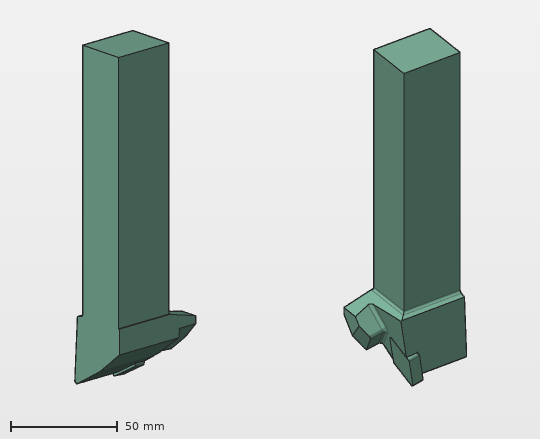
import cadquery as cq
import math


TOTAL_HEIGHT = 171.4
SHANK_WIDTH = 25.0
SHANK_DEPTH = 32.0

HEAD_DEPTH = 48.7
HEAD_RIGHT = 0.5
SHOULDER_HEIGHT = 37.4
SHOULDER_SLOPE = 15.0
SHOULDER_WIDTH = 3.6
SHOULDER_FILLET = 1.4
FLANK_ANGLE = 3.2
RELIEF_ANGLE = 32.0
CORNER_TOP = 4.1
CORNER_BOTTOM = (-29.1, 2.9)
RELIEF_BREAK = -12.7
RIGHT_CORNER = 24.5

RAKE_Y = 35.1
RAKE_SLOPE_X = 0.1
RAKE_SLOPE_Z = 0.11
RAKE_NORMAL = cq.Vector(-RAKE_SLOPE_X, 1, -RAKE_SLOPE_Z).normalized()

BLOCK_ANGLE = 49.0
BLOCK_RIDGE = (-17.0, 23.8)
BLOCK_DROP = 14.9
BLOCK_CORNER_Y = 45.2
BLOCK_END_ANGLE = 22.0
BLOCK_SIDE_ANGLE = 7.0
BLOCK_UNDERCUT = 27.0
BLOCK_BACK_LEAN = 4.0
BLOCK_RIDGE_FILLET = 1.5
BLOCK_ROOT_FILLET = 1.7

INSERT_ANGLE = 55.0
INSERT_CIRCLE = 12.7
INSERT_THICKNESS = 6.3
NOSE_RADIUS = 0.9
INSERT_LEFT = -32.4


def tan(degrees):
    return math.tan(math.radians(degrees))


def prism_along_y(points):
    """Prism with an XZ outline, running from the front side to the full head depth."""
    return cq.Workplane("XZ").polyline(points).close().extrude(-HEAD_DEPTH)


def make_shank():
    size = (SHANK_WIDTH, SHANK_DEPTH, TOTAL_HEIGHT - SHOULDER_HEIGHT)
    return cq.Workplane("XY").box(*size, centered=False).translate((-SHANK_WIDTH, 0, SHOULDER_HEIGHT))


def make_head_blank():
    """Head outline in XZ, cut off at the top by the shoulder sloping to the back."""
    flank_x = -SHANK_WIDTH - SHOULDER_WIDTH
    flank_z = SHOULDER_HEIGHT - SHOULDER_WIDTH * tan(SHOULDER_SLOPE)
    corner_x = flank_x - (flank_z - CORNER_TOP) * tan(FLANK_ANGLE)
    break_z = CORNER_BOTTOM[1] + (RELIEF_BREAK - CORNER_BOTTOM[0]) * tan(RELIEF_ANGLE)
    outline = prism_along_y([
        (HEAD_RIGHT, SHOULDER_HEIGHT),
        (-SHANK_WIDTH, SHOULDER_HEIGHT),
        (flank_x, flank_z),
        (corner_x, CORNER_TOP),
        CORNER_BOTTOM,
        (RELIEF_BREAK, break_z),
        (HEAD_RIGHT, RIGHT_CORNER),
    ])
    back_z = SHOULDER_HEIGHT - (HEAD_DEPTH - SHANK_DEPTH) * tan(SHOULDER_SLOPE)
    side = (
        cq.Workplane("YZ", origin=(corner_x, 0, 0))
        .polyline([
            (0, 0),
            (0, SHOULDER_HEIGHT),
            (SHANK_DEPTH, SHOULDER_HEIGHT),
            (HEAD_DEPTH, back_z),
            (HEAD_DEPTH, 0),
        ])
        .close()
        .extrude(HEAD_RIGHT - corner_x)
    )
    return outline.intersect(side)


def rake_y(x, z):
    return RAKE_Y + RAKE_SLOPE_X * x + RAKE_SLOPE_Z * z


def rake_plane(x, z):
    """Plane on the rake face: local x runs up, local y runs towards +X, normal points to the back."""
    return cq.Plane(
        origin=(x, rake_y(x, z), z),
        xDir=(0, RAKE_SLOPE_Z, 1),
        normal=RAKE_NORMAL,
    )


def make_space_behind_rake():
    reach = 2 * HEAD_DEPTH
    return cq.Workplane(rake_plane(*BLOCK_RIDGE)).rect(2 * reach, 2 * reach).extrude(reach)


def below_block_slope(lowering):
    """Everything in the head below the block's upper face, lowered by the given distance."""
    ridge_x, ridge_z = BLOCK_RIDGE
    left_x = 2 * ridge_x
    slope = tan(BLOCK_ANGLE)
    return prism_along_y([
        (left_x, ridge_z - lowering + (left_x - ridge_x) * slope),
        (HEAD_RIGHT, ridge_z - lowering + (HEAD_RIGHT - ridge_x) * slope),
        (HEAD_RIGHT, -HEAD_DEPTH),
        (left_x, -HEAD_DEPTH),
    ])


def make_block_sides():
    """Vertical-walled plan of the block, sheared so that its left side and slanted end are undercut."""
    ridge_x, ridge_z = BLOCK_RIDGE
    lean_x = -tan(BLOCK_UNDERCUT)
    lean_y = tan(BLOCK_BACK_LEAN)
    foot_x = ridge_x - ridge_z * lean_x
    foot_y = BLOCK_CORNER_Y - ridge_z * lean_y
    back_y = 2 * HEAD_DEPTH
    right_x = 2 * HEAD_DEPTH
    end_x = foot_x + (back_y - foot_y) / tan(BLOCK_END_ANGLE)
    front_x = foot_x + foot_y * tan(BLOCK_SIDE_ANGLE)
    foot = cq.Wire.makePolygon(
        [
            cq.Vector(right_x, 0),
            cq.Vector(end_x, back_y),
            cq.Vector(foot_x, foot_y),
            cq.Vector(front_x, 0),
        ],
        close=True,
    )
    rise = cq.Vector(lean_x, lean_y, 1) * SHOULDER_HEIGHT
    return cq.Workplane(cq.Solid.extrudeLinear(foot, [], rise))


def make_rear_block(head_blank, behind_rake):
    """Block behind the rake face, still reaching down to the head's lower edge."""
    ridge_x, ridge_z = BLOCK_RIDGE
    block = head_blank.intersect(make_block_sides()).intersect(below_block_slope(0))
    ridge = cq.NearestToPointSelector((ridge_x, BLOCK_CORNER_Y / 2, ridge_z))
    return block.edges(ridge).fillet(BLOCK_RIDGE_FILLET).intersect(behind_rake)


def make_head():
    """Head with its rake face, the rear block and the fillet at the block's root."""
    head_blank = make_head_blank()
    behind_rake = make_space_behind_rake()
    block = make_rear_block(head_blank, behind_rake)
    head = head_blank.cut(behind_rake).union(block)
    ridge_x, ridge_z = BLOCK_RIDGE
    root = cq.selectors.BoxSelector(
        (ridge_x, SHANK_DEPTH, ridge_z / 2),
        (ridge_x / 3, (SHANK_DEPTH + BLOCK_CORNER_Y) / 2, SHOULDER_HEIGHT),
    )
    head = head.edges(root).fillet(BLOCK_ROOT_FILLET)
    return head.cut(behind_rake.intersect(below_block_slope(BLOCK_DROP)))


def make_insert():
    """Rhombic plate with rounded corners, its top in the rake plane."""
    nose_x = INSERT_LEFT + NOSE_RADIUS * math.sqrt(1 - RAKE_NORMAL.x**2)
    nose_z = NOSE_RADIUS * math.sqrt(1 - RAKE_NORMAL.z**2)
    side = INSERT_CIRCLE / math.sin(math.radians(INSERT_ANGLE))
    first = math.radians(FLANK_ANGLE)
    second = first + math.radians(INSERT_ANGLE)
    bisector = (first + second) / 2
    reach = NOSE_RADIUS / math.sin(math.radians(INSERT_ANGLE / 2))
    tip = cq.Vector(-reach * math.cos(bisector), -reach * math.sin(bisector))
    upper_side = cq.Vector(math.cos(first), math.sin(first)) * side
    lower_side = cq.Vector(math.cos(second), math.sin(second)) * side
    corners = [tip, tip + upper_side, tip + upper_side + lower_side, tip + lower_side]
    return (
        cq.Workplane(rake_plane(nose_x, nose_z))
        .polyline([(corner.x, corner.y) for corner in corners])
        .close()
        .extrude(-INSERT_THICKNESS)
        .edges(cq.selectors.ParallelDirSelector(RAKE_NORMAL))
        .fillet(NOSE_RADIUS)
    )


def make_holder(insert):
    """Shank and head in one piece, filleted at the left and back shoulders, with the insert's pocket."""
    holder = make_head().union(make_shank())
    left = cq.NearestToPointSelector((-SHANK_WIDTH, SHANK_DEPTH / 2, SHOULDER_HEIGHT))
    back = cq.NearestToPointSelector((-SHANK_WIDTH / 2, SHANK_DEPTH, SHOULDER_HEIGHT))
    shoulders = holder.edges(left).add(holder.edges(back))
    return shoulders.fillet(SHOULDER_FILLET).cut(insert)


insert = make_insert()
holder = make_holder(insert)
result = cq.Compound.makeCompound([holder.val(), insert.val()])